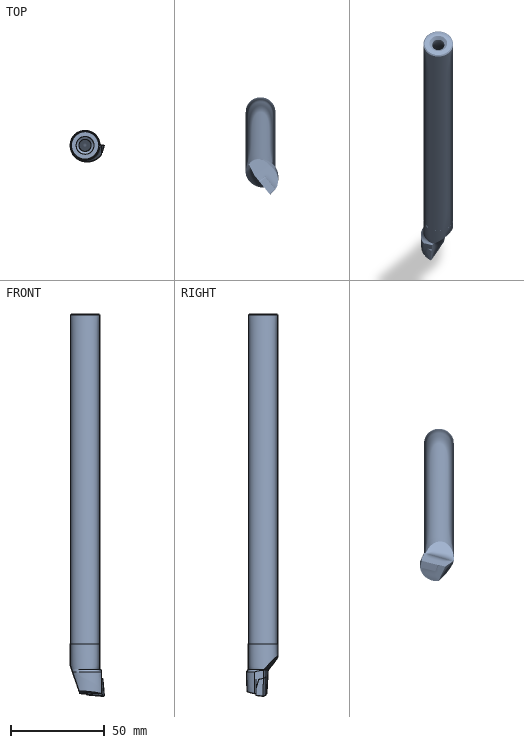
import cadquery as cq
import math

overall_length = 204.45

shank_diameter = 15.86
neck_diameter = 15.96
neck_top = 28.0
neck_radius = neck_diameter / 2
shank_chamfer = 0.6
bore_diameter = 6.5
bore_mouth_diameter = 9.5
bore_depth = 20.0

head_radius = 9.3
head_reach_y = 8.89
head_center_x = 1.1
head_center_y = head_radius - head_reach_y
head_top = 13.0
head_cone_height = 1.5

relief_shift_x = 0.2
relief_shift_y = -0.17
relief_lean = 2.5

back_angle = 19.0
back_start_z = 16.6
flank_x = 8.9
end_x = 8.6
end_z = 0.8
end_clearance = 8.4

tip_reach = 10.31
insert_circle = 9.525
insert_thickness = 3.97
insert_point_angle = 80.0
insert_clearance = 7.0
insert_nose_radius = 0.8
approach_angle = 5.0

radial_rake = 9.0
rake_top = 14.2
gullet_angle = 41.0

cut_size = 60.0


def vertical_cylinder(radius, bottom, top, x=0.0, y=0.0):
    return cq.Workplane("XY", origin=(x, y, bottom)).circle(radius).extrude(top - bottom)


def turn_to_rake(body):
    """Turn a body built on the XZ plane into the plane of the rake face."""
    return body.rotate((tip_reach, 0, 0), (tip_reach, 0, 1), -radial_rake)


def make_insert():
    """Rhombic insert with a rounded nose and tapered flanks, its top in the rake face."""
    side = insert_circle / math.sin(math.radians(insert_point_angle))
    nose_offset = insert_nose_radius / math.sin(math.radians(insert_point_angle / 2)) / math.sqrt(2)
    corner_x = tip_reach - insert_nose_radius + nose_offset
    corner_z = insert_nose_radius - nose_offset
    along = side * math.cos(math.radians(approach_angle))
    across = side * math.sin(math.radians(approach_angle))
    top_outline = (
        cq.Sketch()
        .polygon([
            (corner_x, corner_z),
            (corner_x - across, corner_z + along),
            (corner_x - across - along, corner_z + along + across),
            (corner_x - along, corner_z + across),
            (corner_x, corner_z),
        ])
        .vertices()
        .fillet(insert_nose_radius)
    )
    body = cq.Workplane("XZ").placeSketch(top_outline).extrude(insert_thickness, taper=insert_clearance)
    return turn_to_rake(body)


def make_shank():
    """Upper cylinder with a chamfered end and a blind bore with a conical mouth."""
    shank = vertical_cylinder(shank_diameter / 2, neck_top, overall_length)
    shank = shank.faces(">Z").chamfer(shank_chamfer)
    bore = vertical_cylinder(bore_diameter / 2, overall_length - bore_depth, overall_length)
    mouth_depth = (bore_mouth_diameter - bore_diameter) / 2
    bore = bore.faces(">Z").workplane().circle(bore_mouth_diameter / 2).extrude(-mouth_depth, taper=45)
    return shank.cut(bore)


def make_head():
    """Neck and eccentric head joined by a conical shoulder, the head trimmed by the leaning relief."""
    head = vertical_cylinder(head_radius, 0, head_top, head_center_x, head_center_y)
    neck = vertical_cylinder(neck_radius, head_top, neck_top)
    shoulder = (
        cq.Workplane("XY", origin=(head_center_x, head_center_y, head_top))
        .circle(head_radius)
        .workplane(offset=head_cone_height)
        .center(-head_center_x, -head_center_y)
        .circle(neck_radius)
        .loft(ruled=True)
    )
    relief_x = head_center_x + relief_shift_x
    relief_y = head_center_y + relief_shift_y
    relief = vertical_cylinder(head_radius, head_top - cut_size, head_top + cut_size, relief_x, relief_y)
    relief = relief.rotate((0, relief_y, head_top), (1, relief_y, head_top), relief_lean)
    return head.intersect(relief).union(shoulder).union(neck)


def cut_back(body):
    """Slanted flat on the -X side, going inward toward the end of the bar."""
    cutter = (
        cq.Workplane("XY")
        .box(cut_size, cut_size, cut_size, centered=(True, True, False))
        .translate((-cut_size / 2, 0, -cut_size))
        .rotate((0, 0, 0), (0, 1, 0), -back_angle)
        .translate((-neck_radius, 0, back_start_z))
    )
    return body.cut(cutter)


def cut_flank(body):
    """Upright flat on the +X side, under the side edge of the insert."""
    cutter = cq.Workplane("XY").box(cut_size, cut_size, 2 * neck_top, centered=(False, True, True))
    return body.cut(cutter.translate((flank_x, 0, 0)))


def cut_end(body):
    """End flat, parallel to the insert's lower edge and rising toward -Y for clearance."""
    cutter = (
        cq.Workplane("XY")
        .box(cut_size, cut_size, cut_size)
        .translate((0, 0, -cut_size / 2))
        .rotate((0, 0, 0), (1, 0, 0), -end_clearance)
        .rotate((0, 0, 0), (0, 1, 0), approach_angle)
        .translate((end_x, 0, end_z))
    )
    return body.cut(cutter)


def cut_rake_face(body):
    """Flat rake face on the +Y side with a sloped gullet running out above it."""
    gullet_rise = cut_size / math.tan(math.radians(gullet_angle))
    cutter = (
        cq.Workplane("YZ", origin=(-cut_size / 2, 0, 0))
        .polyline([
            (0, -cut_size),
            (0, rake_top),
            (cut_size, rake_top + gullet_rise),
            (cut_size, -cut_size),
        ])
        .close()
        .extrude(cut_size)
    )
    return body.cut(turn_to_rake(cutter))


insert = make_insert()

head = cut_flank(make_head())
head = cut_end(head)
head = cut_rake_face(head)
head = cut_back(head)
bar = make_shank().union(head).cut(insert)

result = cq.Compound.makeCompound([bar.solids().val(), insert.val()])